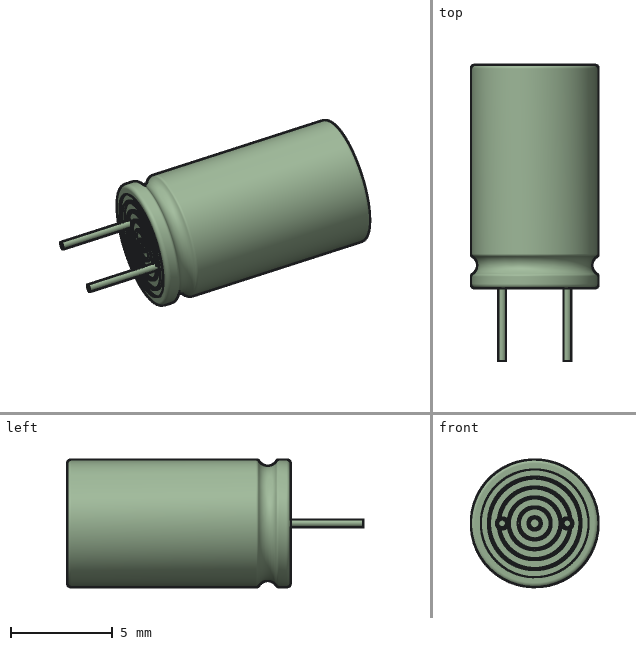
import cadquery as cq
import math


can_diameter = 6.3
can_radius = can_diameter / 2
overall_length = 14.57
lead_exposed_length = 3.57
can_length = overall_length - lead_exposed_length
end_fillet = 0.2

crimp_center = 1.14
crimp_depth = 0.3
crimp_half_width = 0.55
crimp_edge_radius = 0.15

base_diameter = 5.3
base_setback = 0.1
ring_width = 0.1
ring_inner_diameters = [0.5, 1.47, 2.45, 3.42, 4.4]
ring_height = 0.1

lead_diameter = 0.4
lead_spacing = 3.2
seat_depth = 0.1
seat_diameter = lead_diameter + 2 * ring_width
seat_floor = base_setback + seat_depth
lead_positions = [-lead_spacing / 2, lead_spacing / 2]


def cylinder_along_y(x, diameter, y_start, y_end):
    """A round bar parallel to Y at the given X, from y_start to y_end."""
    return (
        cq.Workplane("XZ", origin=(x, y_start, 0))
        .circle(diameter / 2)
        .extrude(y_start - y_end)
    )


def crimp_cutter():
    """A ring whose section is the crimp arc, blended into the can wall at both edges."""
    radius_sum = (crimp_half_width**2 + crimp_depth**2) / (2 * crimp_depth)
    crimp_radius = radius_sum - crimp_edge_radius
    touch_half_width = crimp_half_width * crimp_radius / radius_sum
    edge_center = can_radius - crimp_edge_radius
    rise = radius_sum - crimp_depth
    touch_radius = edge_center + rise * crimp_edge_radius / radius_sum

    half_angle = math.atan2(crimp_half_width, rise) / 2
    edge_mid_radius = edge_center + crimp_edge_radius * math.cos(half_angle)
    edge_mid_half_width = crimp_half_width - crimp_edge_radius * math.sin(half_angle)
    clear_radius = can_radius + crimp_depth

    return (
        cq.Workplane("XY")
        .moveTo(clear_radius, crimp_center - crimp_half_width)
        .lineTo(can_radius, crimp_center - crimp_half_width)
        .threePointArc(
            (edge_mid_radius, crimp_center - edge_mid_half_width),
            (touch_radius, crimp_center - touch_half_width),
        )
        .threePointArc(
            (can_radius - crimp_depth, crimp_center),
            (touch_radius, crimp_center + touch_half_width),
        )
        .threePointArc(
            (edge_mid_radius, crimp_center + edge_mid_half_width),
            (can_radius, crimp_center + crimp_half_width),
        )
        .lineTo(clear_radius, crimp_center + crimp_half_width)
        .close()
        .revolve(360, (0, 0, 0), (0, 1, 0))
    )


def base_ring(inner_diameter):
    """A thin round-topped ring standing on the base."""
    inner_radius = inner_diameter / 2
    outer_radius = inner_radius + ring_width
    shoulder = base_setback - ring_height + ring_width / 2
    return (
        cq.Workplane("XY")
        .moveTo(inner_radius, base_setback)
        .lineTo(inner_radius, shoulder)
        .threePointArc(
            (inner_radius + ring_width / 2, base_setback - ring_height),
            (outer_radius, shoulder),
        )
        .lineTo(outer_radius, base_setback)
        .close()
        .revolve(360, (0, 0, 0), (0, 1, 0))
    )


def make_can():
    """The crimped can with its recessed, ringed base and two lead seats."""
    can = cylinder_along_y(0, can_diameter, 0, can_length).edges().fillet(end_fillet)
    can = can.cut(crimp_cutter())
    can = can.cut(cylinder_along_y(0, base_diameter, 0, base_setback))
    for inner_diameter in ring_inner_diameters:
        can = can.union(base_ring(inner_diameter))
    for x in lead_positions:
        can = can.cut(cylinder_along_y(x, seat_diameter, 0, seat_floor))
    return can


def make_lead(x):
    """A straight round lead standing on the floor of its seat."""
    return cylinder_along_y(x, lead_diameter, -lead_exposed_length, seat_floor)


can = make_can()
leads = [make_lead(x).val() for x in lead_positions]

result = cq.Compound.makeCompound([can.val(), *leads])